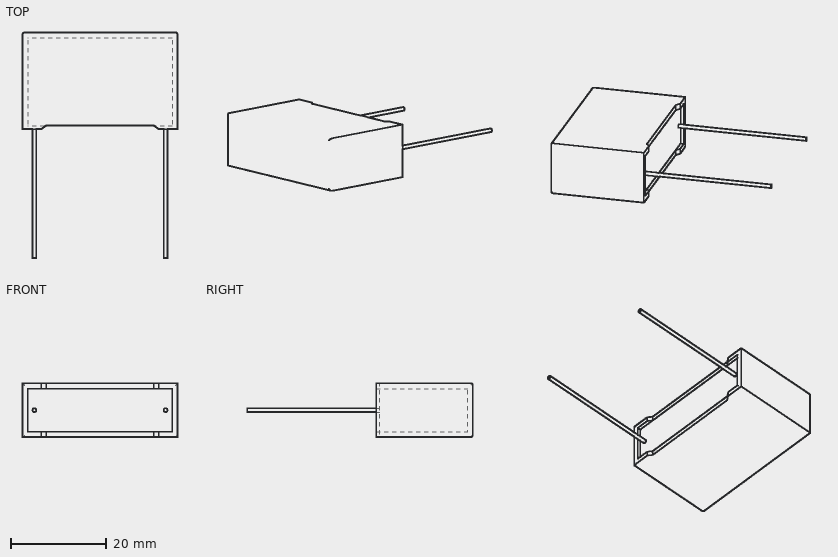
import cadquery as cq

CASE_WIDTH = 32.5
CASE_HEIGHT = 11.3
WALL = 1.15
BACK_EDGE_RADIUS = 0.5

OVERALL_LENGTH = 47.3
LEAD_REACH = 27.0
LEAD_DIAMETER = 0.8
LEAD_PITCH = 27.5

RELIEF_DEPTH = 0.7
RELIEF_INSET = 3.95
RAMP_LENGTH = 1.0

CASE_LENGTH = OVERALL_LENGTH - LEAD_REACH
FILL_FACE_Y = RELIEF_DEPTH
CAVITY_END_Y = CASE_LENGTH - WALL
CAVITY_WIDTH = CASE_WIDTH - 2 * WALL
CAVITY_HEIGHT = CASE_HEIGHT - 2 * WALL
LEAD_LENGTH = LEAD_REACH + FILL_FACE_Y


def block(width, height, start_y, end_y):
    """Box centred on X and Z, spanning start_y to end_y."""
    length = end_y - start_y
    return cq.Workplane("XY").box(width, length, height).translate((0, (start_y + end_y) / 2, 0))


def make_relief_cutter():
    """Trapezoid prism that lowers the top and bottom rims."""
    outer_x = CASE_WIDTH / 2 - RELIEF_INSET
    inner_x = outer_x - RAMP_LENGTH
    return (
        cq.Workplane("XY")
        .polyline([(-outer_x, 0), (-inner_x, RELIEF_DEPTH), (inner_x, RELIEF_DEPTH), (outer_x, 0)])
        .close()
        .extrude(CASE_HEIGHT / 2, both=True)
    )


def make_case():
    """Hollow case with a rounded closed end and a relieved rim."""
    shell = block(CASE_WIDTH, CASE_HEIGHT, 0, CASE_LENGTH)
    shell = shell.faces(">Y").edges().fillet(BACK_EDGE_RADIUS)
    cavity = block(CAVITY_WIDTH, CAVITY_HEIGHT, 0, CAVITY_END_Y)
    return shell.cut(cavity).cut(make_relief_cutter())


def make_fill():
    """Block filling the cavity, its face level with the floor of the relief."""
    return block(CAVITY_WIDTH, CAVITY_HEIGHT, FILL_FACE_Y, CAVITY_END_Y)


def make_lead(x):
    """Straight round wire that starts on the face of the fill."""
    wire = cq.Workplane("XZ").circle(LEAD_DIAMETER / 2).extrude(LEAD_LENGTH)
    return wire.translate((x, FILL_FACE_Y, 0))


case = make_case()
fill = make_fill()
leads = [make_lead(side * LEAD_PITCH / 2) for side in (-1, 1)]

result = cq.Compound.makeCompound([case.val(), fill.val(), *[lead.val() for lead in leads]])